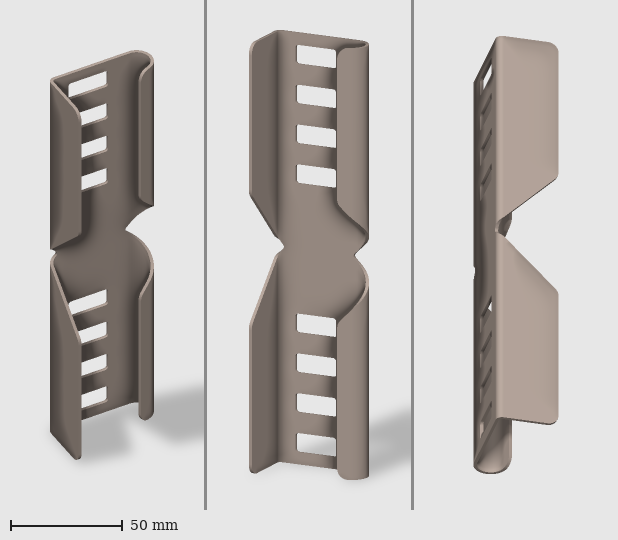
import cadquery as cq
import math

half_length = 100.0
flange_width = 28.5
total_depth = 49.0
thickness = 1.5
neutral_fraction = 0.4

bend_radius = 3.0
hook_radius = 7.8
bend_angle = 90.0
hook_angle = 162.0
tail_length = 5.5
hook_start = total_depth - hook_radius

flange_notch_tip = 4.0
hook_notch_tip = 39.0
notch_tip_radius = 1.5
flap_corner_radius = 5.0

slot_width = 20.5
slot_height = 9.0
slot_corner_radius = 1.5
slot_center_y = 20.0
first_slot_z = 34.5
last_slot_z = 90.0
slots_per_half = 4
slot_pitch = (last_slot_z - first_slot_z) / (slots_per_half - 1)

tip_arc_angle = math.radians(45)
tip_rise = notch_tip_radius * math.sin(tip_arc_angle)
tip_run = notch_tip_radius * (1 - math.cos(tip_arc_angle))
tip_mid_rise = notch_tip_radius * math.sin(tip_arc_angle / 2)
tip_mid_run = notch_tip_radius * (1 - math.cos(tip_arc_angle / 2))


def rise_along_bend(outer_radius, angle):
    """Height a 45 degree notch side gains around a bend, measured along the unstretched layer."""
    neutral_radius = outer_radius - thickness * (1 - neutral_fraction)
    return neutral_radius * math.radians(angle)


bend_notch_z = flange_notch_tip - bend_radius - tip_run + tip_rise
flange_notch_z = bend_notch_z + rise_along_bend(bend_radius, bend_angle)
hook_notch_z = hook_start - hook_notch_tip - tip_run + tip_rise
tail_notch_z = hook_notch_z + rise_along_bend(hook_radius, hook_angle)


def ring_sector(inner, outer, start, sweep):
    """Closed XY outline of a ring sector about the origin; angles in degrees from +X."""
    def point(radius, angle):
        return radius * math.cos(math.radians(angle)), radius * math.sin(math.radians(angle))

    middle = start + sweep / 2
    end = start + sweep
    return (
        cq.Workplane("XY")
        .moveTo(*point(inner, start))
        .lineTo(*point(outer, start))
        .threePointArc(point(outer, middle), point(outer, end))
        .lineTo(*point(inner, end))
        .threePointArc(point(inner, middle), point(inner, start))
        .close()
    )


def notched_bend(outer_radius, sweep, notch_z):
    """Bent sheet starting at the web, its lower edge climbing along a helix with the notch."""
    inner_radius = outer_radius - thickness
    web_side = 180
    sheet = ring_sector(inner_radius, outer_radius, web_side, sweep).extrude(half_length - notch_z)
    margin = thickness / 2
    cutter = ring_sector(inner_radius - margin, outer_radius + margin, web_side, sweep)
    notch = cutter.twistExtrude(rise_along_bend(outer_radius, abs(sweep)), sweep)
    return sheet.cut(notch).translate((0, 0, notch_z))


def flat_flap(width, notch_z):
    """Flat sheet along +X on the +Y side of the XZ plane, its lower edge climbing at 45 degrees.

    Both corners of its free edge are rounded.
    """
    return (
        cq.Workplane("XZ")
        .moveTo(0, notch_z)
        .lineTo(width, notch_z + width)
        .lineTo(width, half_length)
        .lineTo(0, half_length)
        .close()
        .extrude(-thickness)
        .edges("|Y and >X")
        .fillet(flap_corner_radius)
    )


def make_web():
    sheet = (
        cq.Workplane("YZ")
        .moveTo(flange_notch_tip, 0)
        .threePointArc(
            (flange_notch_tip - tip_mid_run, tip_mid_rise),
            (flange_notch_tip - tip_run, tip_rise),
        )
        .lineTo(bend_radius, bend_notch_z)
        .lineTo(bend_radius, half_length)
        .lineTo(hook_start, half_length)
        .lineTo(hook_start, hook_notch_z)
        .lineTo(hook_notch_tip + tip_run, tip_rise)
        .threePointArc(
            (hook_notch_tip + tip_mid_run, tip_mid_rise),
            (hook_notch_tip, 0),
        )
        .close()
        .extrude(thickness)
    )
    slots = (
        cq.Workplane("YZ")
        .pushPoints([(slot_center_y, first_slot_z + i * slot_pitch) for i in range(slots_per_half)])
        .rect(slot_width, slot_height)
        .extrude(thickness)
        .edges("|X")
        .fillet(slot_corner_radius)
    )
    return sheet.cut(slots)


def make_flange():
    flap = flat_flap(flange_width - bend_radius, flange_notch_z)
    return flap.translate((bend_radius, 0, 0))


def make_tail():
    flap = flat_flap(tail_length, tail_notch_z).translate((0, -hook_radius, 0))
    flap = flap.mirror("XZ").rotate((0, 0, 0), (0, 0, 1), 90 - hook_angle)
    return flap.translate((hook_radius, hook_start, 0))


bend = notched_bend(bend_radius, bend_angle, bend_notch_z).translate((bend_radius, bend_radius, 0))
hook = notched_bend(hook_radius, -hook_angle, hook_notch_z).translate((hook_radius, hook_start, 0))

upper_half = make_web().union(bend).union(make_flange()).union(hook).union(make_tail())
result = upper_half.union(upper_half.mirror("XY"))